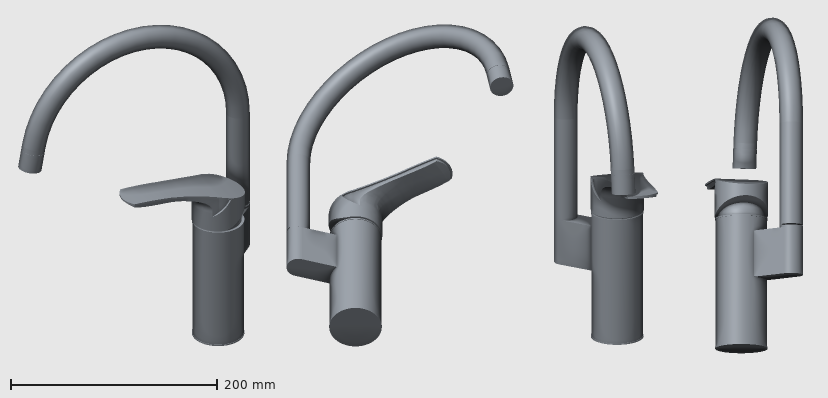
import cadquery as cq
import math


column_radius = 25.0
rim_radius = 51.0 / 2
rim_height = 1.5
column_height = 128.2
arm_bottom = 67.0
arm_height = 45.5

pipe_radius = 23.0 / 2
pipe_offset = 41.0
slot_rise = 2.0
slot_height = 1.5
slot_setback = 3.0
overall_height = 338.2
bend_radius = 110.5
tip_angle = math.radians(10)
tip_length = 24.7
outlet_length = 15.0
groove_spacing = 4.7
groove_size = 0.5

dome_radius = 45.5 / 2
dome_height = 16.2
dome_round = 15.2

skirt_radius = 26.0
skirt_bottom = 130.0
head_radius = 25.7
grip_half_width = 16.0
grip_end = -97.5
tip_end = -103.5
lip_thickness = 1.7
lip_overhang = 1.7
lever_back = 157.0
lever_middle = 173.5
lever_front = 178.5
neck_side = (2.7, 165.7)
neck_bend = (-10.8, 149.5)
neck_low = (-28.7, 141.0)
neck_clear_height = 186
flare_start = 150.5
flare_curve = [(30.0, 162.0), (38.2, 166.0), (58.5, 170.0), (95.0, 173.0)]
flare_end = 176.0
back_start = -5.0
back_bend = (1.5, 131.5)
back_rise = (7.5, 134.5)
back_edge = (28.7, 148.5)
cut_width = 135.3

arm_top = arm_bottom + arm_height
slot_bottom = arm_top + slot_rise
slot_front = pipe_offset + slot_setback
bend_center_y = pipe_offset - bend_radius
bend_center_z = overall_height - pipe_radius - bend_radius
tip_start = (
    bend_center_y - bend_radius * math.cos(tip_angle),
    bend_center_z + bend_radius * math.sin(tip_angle),
)


def tip_point(distance):
    """Return the (Y, Z) point on the tip axis at a distance past the bend."""
    return (
        tip_start[0] - distance * math.sin(tip_angle),
        tip_start[1] - distance * math.cos(tip_angle),
    )


def tip_plane(distance):
    """Return the plane square to the tip axis, facing the outlet."""
    y, z = tip_point(distance)
    return cq.Plane(
        origin=(-pipe_offset, y, z),
        xDir=(1, 0, 0),
        normal=(0, -math.sin(tip_angle), -math.cos(tip_angle)),
    )


def make_column():
    column = cq.Workplane("XY").circle(column_radius).extrude(column_height)
    for rim_bottom in (0, column_height - rim_height):
        rim = cq.Workplane("XY", origin=(0, 0, rim_bottom)).circle(rim_radius).extrude(rim_height)
        column = column.union(rim)
    arm_length = math.hypot(pipe_offset, pipe_offset)
    bar = (
        cq.Workplane("XY", origin=(0, 0, arm_bottom))
        .center(-pipe_offset / 2, pipe_offset / 2)
        .transformed(rotate=(0, 0, -45))
        .rect(arm_length, 2 * pipe_radius)
        .extrude(arm_height)
    )
    arm_end = (
        cq.Workplane("XY", origin=(-pipe_offset, pipe_offset, arm_bottom))
        .circle(pipe_radius)
        .extrude(arm_height)
    )
    return column.union(bar.union(arm_end))


def make_spout():
    path = (
        cq.Workplane("YZ", origin=(-pipe_offset, 0, 0))
        .moveTo(pipe_offset, arm_top)
        .lineTo(pipe_offset, bend_center_z)
        .threePointArc((bend_center_y, bend_center_z + bend_radius), tip_start)
        .lineTo(*tip_point(tip_length - outlet_length))
    )
    pipe = (
        cq.Workplane("XY", origin=(-pipe_offset, pipe_offset, arm_top))
        .circle(pipe_radius)
        .sweep(path)
    )
    groove = (
        cq.Workplane(tip_plane(tip_length - outlet_length - groove_spacing))
        .circle(pipe_radius + groove_size)
        .circle(pipe_radius - groove_size)
        .extrude(groove_size)
    )
    slot = (
        cq.Workplane("XY", origin=(-pipe_offset, slot_front, slot_bottom))
        .rect(4 * pipe_radius, 2 * pipe_radius, centered=(True, False))
        .extrude(slot_height)
    )
    return pipe.cut(groove).cut(slot)


def make_aerator():
    return cq.Workplane(tip_plane(tip_length - outlet_length)).circle(pipe_radius).extrude(outlet_length)


def make_dome():
    return (
        cq.Workplane("XY", origin=(0, 0, column_height))
        .circle(dome_radius)
        .extrude(dome_height)
        .faces(">Z")
        .edges()
        .fillet(dome_round)
    )


def across(profile):
    """Extrude a closed YZ profile right across the lever."""
    return profile.extrude(cut_width / 2, both=True)


def mirrored(point):
    """Return the matching plan point on the -X flank."""
    return (-point[0], point[1])


def lever_outline():
    """Draw the plan of the lever: round head, waisted flanks and a bowed tip."""
    flank_start = (23.7, -10.0)
    flank_middle = (19.0, -33.8)
    flank_end = (16.5, -57.5)
    grip_corner = (grip_half_width, grip_end)
    return (
        cq.Workplane("XY")
        .moveTo(*flank_start)
        .threePointArc((0, head_radius), mirrored(flank_start))
        .threePointArc(mirrored(flank_middle), mirrored(flank_end))
        .lineTo(*mirrored(grip_corner))
        .threePointArc((0, tip_end), grip_corner)
        .lineTo(*flank_end)
        .threePointArc(flank_middle, flank_start)
        .close()
    )


def below_top(drop):
    """Return the space under the arched top of the lever, lowered by a drop."""
    back, middle, front = 28.7, -37.2, -106.5
    return across(
        cq.Workplane("YZ")
        .moveTo(back, 0)
        .lineTo(back, lever_back - drop)
        .threePointArc((middle, lever_middle - drop), (front, lever_front - drop))
        .lineTo(front, 0)
        .close()
    )


def make_lever(dome):
    top_space = below_top(0)
    outline = lever_outline().extrude(overall_height)

    lip = outline.intersect(top_space).cut(below_top(lip_thickness))

    flare = (
        cq.Workplane("XZ")
        .moveTo(0, skirt_bottom)
        .lineTo(skirt_radius, skirt_bottom)
        .lineTo(skirt_radius, flare_start)
        .spline(flare_curve, includeCurrent=True)
        .lineTo(-tip_end, flare_end)
        .lineTo(-tip_end, overall_height)
        .lineTo(0, overall_height)
        .close()
        .revolve(360, (0, 0, 0), (0, 1, 0))
    )
    neck_wall = lever_outline().offset2D(-lip_overhang).extrude(overall_height)
    neck = flare.intersect(neck_wall).intersect(top_space)

    neck_space = across(
        cq.Workplane("YZ")
        .moveTo(*neck_side)
        .threePointArc(neck_bend, neck_low)
        .lineTo(neck_low[0], neck_clear_height)
        .lineTo(neck_side[0], neck_clear_height)
        .close()
    )
    skirt = (
        cq.Workplane("XY", origin=(0, 0, skirt_bottom))
        .circle(skirt_radius)
        .extrude(overall_height)
        .intersect(top_space)
        .cut(neck_space)
    )

    back_clearance = across(
        cq.Workplane("YZ")
        .moveTo(back_start, skirt_bottom)
        .threePointArc(back_bend, back_rise)
        .lineTo(*back_edge)
        .lineTo(back_edge[0], skirt_bottom)
        .close()
    )
    return skirt.union(neck).union(lip).cut(back_clearance).cut(dome)


column = make_column()
spout = make_spout()
aerator = make_aerator()
dome = make_dome()
lever = make_lever(dome)

result = cq.Compound.makeCompound(
    [column.val(), spout.val(), aerator.val(), dome.val(), lever.val()]
)